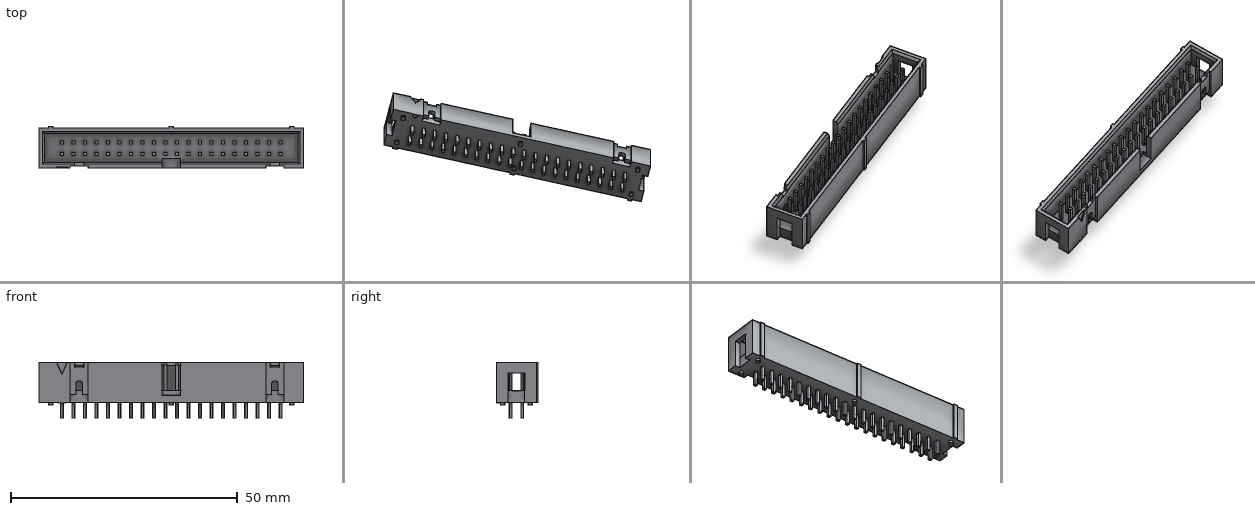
import cadquery as cq


body_length = 58.4
body_width = 8.9
body_height = 8.9
wall = 1.2
front_wall = 1.3
mouth_chamfer = 0.4
mouth_depth = 0.7
floor_z = 2.6

columns = 20
rows = 2
pin_row_span = 48.25
pin_side = 0.65
pin_top_z = 8.5
pin_tail = 3.45

key_width = 4.1
key_depth = 2.1
key_bottom_z = 1.6

window_width = 3.6
window_top_z = 6.5

recess_width = 4.0
recess_depth = 0.45
notch_width = 2.05
notch_depth = 1.05
arch_width = 1.45
arch_top_z = 4.8
undercut_height = 1.75

mark_width = 2.4
mark_height = 2.6
mark_depth = 0.3
base_mark_width = 1.6
base_mark_length = 1.05
base_mark_height = 0.1

standoff_diameter = 1.0
standoff_height = 0.6
support_spacing = 26.65
standoff_row_y = 3.05
rib_width = 1.0
rib_depth = 0.35

front_y = -body_width / 2
back_y = body_width / 2
end_x = body_length / 2
cavity_length = body_length - 2 * wall
cavity_width = body_width - wall - front_wall
cavity_y = (front_wall - wall) / 2
pitch = pin_row_span / (columns - 1)
first_pin_x = -pin_row_span / 2
last_pin_x = pin_row_span / 2
support_xs = (-support_spacing, 0, support_spacing)
recess_xs = (first_pin_x + 1.5 * pitch, last_pin_x - 0.5 * pitch)


def block(x_range, y_range, z_range):
    """Box spanning the given ranges."""
    size = [high - low for low, high in (x_range, y_range, z_range)]
    corner = (x_range[0], y_range[0], z_range[0])
    return cq.Workplane("XY").box(*size, centered=False).translate(corner)


def centred_span(centre, width):
    return (centre - width / 2, centre + width / 2)


def cavity():
    """Open-topped cavity with a mouth that widens upwards."""
    well = block(
        centred_span(0, cavity_length),
        centred_span(cavity_y, cavity_width),
        (floor_z, body_height),
    )
    mouth = (
        cq.Workplane("XY", origin=(0, cavity_y, body_height - mouth_depth))
        .rect(cavity_length, cavity_width)
        .workplane(offset=mouth_depth)
        .rect(cavity_length + 2 * mouth_chamfer, cavity_width + 2 * mouth_chamfer)
        .loft(ruled=True)
    )
    return well.union(mouth)


def key_slot():
    """Slot through the front wall that also cuts into the cavity floor."""
    return block(
        centred_span(0, key_width),
        (front_y, front_y + key_depth),
        (key_bottom_z, body_height),
    )


def end_window(side):
    """Slot from the underside up the end wall on the given side (-1 or 1)."""
    x_range = sorted((side * end_x, side * (end_x - wall)))
    return block(x_range, centred_span(0, window_width), (0, window_top_z))


def latch_recess(x):
    """Shallow full-height recess with a top notch, a round-topped opening and an undercut."""
    wall_span = (front_y, front_y + front_wall)
    recess_span = centred_span(x, recess_width)
    recess = block(recess_span, (front_y, front_y + recess_depth), (0, body_height))
    notch = block(centred_span(x, notch_width), wall_span, (body_height - notch_depth, body_height))
    undercut = block(recess_span, wall_span, (0, undercut_height))
    arch_radius = arch_width / 2
    arch = (
        cq.Workplane("XZ", origin=(x, front_y, 0))
        .moveTo(-arch_radius, 0)
        .lineTo(-arch_radius, arch_top_z - arch_radius)
        .threePointArc((0, arch_top_z), (arch_radius, arch_top_z - arch_radius))
        .lineTo(arch_radius, 0)
        .close()
        .extrude(-front_wall)
    )
    return recess.union(notch).union(undercut).union(arch)


def front_mark():
    """Triangular engraving in the front wall, pointing down at pin 1."""
    return (
        cq.Workplane("XZ", origin=(first_pin_x, front_y, body_height))
        .polyline([(-mark_width / 2, 0), (mark_width / 2, 0), (0, -mark_height)])
        .close()
        .extrude(-mark_depth)
    )


def base_mark():
    """Raised triangle on the underside, pointing back at pin 1."""
    return (
        cq.Workplane("XY", origin=(first_pin_x, front_y, 0))
        .polyline([(-base_mark_width / 2, 0), (base_mark_width / 2, 0), (0, base_mark_length)])
        .close()
        .extrude(-base_mark_height)
    )


def pins():
    return (
        cq.Workplane("XY", origin=(0, 0, -pin_tail))
        .rarray(pitch, pitch, columns, rows)
        .rect(pin_side, pin_side)
        .extrude(pin_tail + pin_top_z)
    )


def standoffs():
    places = [(x, y) for x in support_xs for y in (-standoff_row_y, standoff_row_y)]
    return (
        cq.Workplane("XY")
        .pushPoints(places)
        .circle(standoff_diameter / 2)
        .extrude(-standoff_height)
    )


def back_rib(x):
    return block(centred_span(x, rib_width), (back_y, back_y + rib_depth), (0, body_height))


result = block(centred_span(0, body_length), (front_y, back_y), (0, body_height))
result = result.cut(cavity()).cut(key_slot()).cut(front_mark())
for side in (-1, 1):
    result = result.cut(end_window(side))
for recess_x in recess_xs:
    result = result.cut(latch_recess(recess_x))
for support_x in support_xs:
    result = result.union(back_rib(support_x))
result = result.union(standoffs()).union(base_mark()).union(pins())